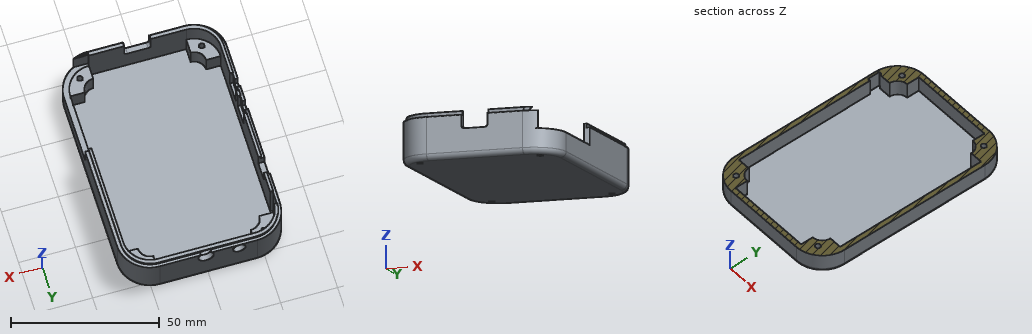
import cadquery as cq
import math

LENGTH_X = 57.2
LENGTH_Y = 84.7
HEIGHT = 16.0
CORNER_RADIUS = 11.5
BOTTOM_FILLET = 2.0
WALL = 2.2
FLOOR = 1.6
SKIN = WALL / 2

LIP_HEIGHT = 1.4
LIP_INSET_X = 1.1
LIP_INSET_Y = 0.8
LIP_OVERHANG = 0.3
SHOULDER_Z = HEIGHT - LIP_HEIGHT

PAD_TOP_Z = 8.6
PAD_HOLLOW_RADIUS = 4.2
SCREW_HOLE_DIAMETER = 1.9
SCREW_SPACING_X = 42.8
SCREW_SPACING_Y = 72.8

NOTCH_WIDTH = 9.3
NOTCH_BOTTOM_Z = 9.9
NOTCH_CORNER_RADIUS = 1.0

BACK_HOLES = [(0.75, 12.65, 5.4), (-10.9, 12.2, 4.4)]

SIDE_SLOT_BOTTOM_Z = 11.3
SIDE_WINDOW = (13.0, 19.3)
BUTTON_SLOTS = [(-9.45, -6.1), (-18.15, -15.15)]
BUTTON_RECESSES = [(-11.1, -4.25), (-20.05, -13.25)]
BUTTON_RECESS_BOTTOM_Z = PAD_TOP_Z
CONNECTOR_RECESS = (26.7, 31.55)

CUTAWAY_SKIN = 1.25
CUTAWAY_END_Y = -6.4
CUTAWAY_BOTTOM_Z = 8.55

HALF_X = LENGTH_X / 2
HALF_Y = LENGTH_Y / 2
INNER_HALF_X = HALF_X - WALL
INNER_HALF_Y = HALF_Y - WALL
CORNER_X = HALF_X - CORNER_RADIUS
CORNER_Y = HALF_Y - CORNER_RADIUS
MARGIN = 1.0


def box(x_range, y_range, z_range):
    """Box spanning the given coordinate ranges."""
    size = [high - low for low, high in (x_range, y_range, z_range)]
    corner = (x_range[0], y_range[0], z_range[0])
    return cq.Workplane("XY").box(*size, centered=False).translate(corner)


def rounded_block(length_x, length_y, radius, z_low, z_high):
    """Upright block with rounded vertical edges, centred on the Z axis."""
    block = cq.Workplane("XY").workplane(offset=z_low).rect(length_x, length_y).extrude(z_high - z_low)
    return block.edges("|Z").fillet(radius)


def make_body():
    body = rounded_block(LENGTH_X, LENGTH_Y, CORNER_RADIUS, 0, SHOULDER_Z)
    return body.faces("<Z").edges().fillet(BOTTOM_FILLET)


def make_lip():
    root_x = LENGTH_X - 2 * (LIP_INSET_X + LIP_OVERHANG)
    root_y = LENGTH_Y - 2 * (LIP_INSET_Y + LIP_OVERHANG)
    root_radius = CORNER_RADIUS - LIP_INSET_X - LIP_OVERHANG
    lean = math.degrees(math.atan2(LIP_OVERHANG, LIP_HEIGHT))
    outline = cq.Sketch().rect(root_x, root_y).vertices().fillet(root_radius)
    return cq.Workplane("XY").workplane(offset=SHOULDER_Z).placeSketch(outline).extrude(LIP_HEIGHT, taper=-lean)


def make_cavity():
    inner_radius = CORNER_RADIUS - WALL
    return rounded_block(2 * INNER_HALF_X, 2 * INNER_HALF_Y, inner_radius, FLOOR, HEIGHT + MARGIN)


def make_pads(cavity):
    """Corner pads filling the cavity corners, hollowed round the corner centre."""
    pads = cq.Workplane("XY")
    for side_x in (-1, 1):
        for side_y in (-1, 1):
            x_range = sorted((side_x * CORNER_X, side_x * INNER_HALF_X))
            y_range = sorted((side_y * CORNER_Y, side_y * INNER_HALF_Y))
            pads = pads.add(box(x_range, y_range, (FLOOR, PAD_TOP_Z)))
    pads = pads.combine().intersect(cavity)
    hollows = (
        cq.Workplane("XY")
        .workplane(offset=FLOOR)
        .rect(2 * CORNER_X, 2 * CORNER_Y, forConstruction=True)
        .vertices()
        .circle(PAD_HOLLOW_RADIUS)
        .extrude(PAD_TOP_Z - FLOOR)
    )
    return pads.cut(hollows)


def make_screw_holes():
    return (
        cq.Workplane("XY")
        .rect(SCREW_SPACING_X, SCREW_SPACING_Y, forConstruction=True)
        .vertices()
        .circle(SCREW_HOLE_DIAMETER / 2)
        .extrude(PAD_TOP_Z)
    )


def make_cable_notch():
    half_width = NOTCH_WIDTH / 2
    y_range = (-HALF_Y - MARGIN, -INNER_HALF_Y)
    notch = box((-half_width, half_width), y_range, (NOTCH_BOTTOM_Z, HEIGHT + MARGIN))
    return notch.edges("|Y and <Z").fillet(NOTCH_CORNER_RADIUS)


def make_back_hole(x, z, diameter):
    wall_plane = cq.Workplane("XZ", origin=(x, INNER_HALF_Y - MARGIN, z))
    return wall_plane.circle(diameter / 2).extrude(-(WALL + 2 * MARGIN))


def make_side_slot(y_range):
    """Slot through the full thickness of the -X wall, open at the top."""
    x_range = (-HALF_X - MARGIN, -INNER_HALF_X)
    return box(x_range, y_range, (SIDE_SLOT_BOTTOM_Z, HEIGHT + MARGIN))


def make_side_recess(y_range, bottom_z):
    """Recess in the inner face of the -X wall, leaving only the outer skin."""
    x_range = (-HALF_X + SKIN, -INNER_HALF_X + MARGIN)
    return box(x_range, y_range, (bottom_z, HEIGHT + MARGIN))


def make_cutaway():
    x_range = (CORNER_X, HALF_X + MARGIN)
    y_range = (-HALF_Y + CUTAWAY_SKIN, CUTAWAY_END_Y)
    return box(x_range, y_range, (CUTAWAY_BOTTOM_Z, HEIGHT + MARGIN))


cavity = make_cavity()
case = make_body().union(make_lip()).cut(cavity)
for slot in [SIDE_WINDOW] + BUTTON_SLOTS:
    case = case.cut(make_side_slot(slot))
for recess in BUTTON_RECESSES:
    case = case.cut(make_side_recess(recess, BUTTON_RECESS_BOTTOM_Z))
case = case.cut(make_side_recess(CONNECTOR_RECESS, FLOOR))
case = case.cut(make_cable_notch())
for hole in BACK_HOLES:
    case = case.cut(make_back_hole(*hole))
case = case.cut(make_cutaway())

result = case.union(make_pads(cavity)).cut(make_screw_holes())